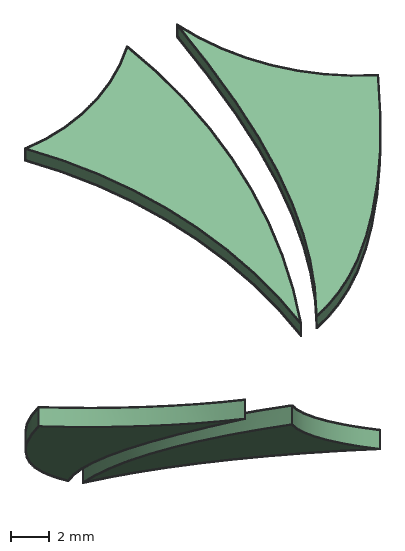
import cadquery as cq

thickness = 1.0

upper_root = (0.15, 10.9)
upper_peak = (8.35, 18.07)
upper_tip = (20.12, 7.16)
upper_back_middle = (5.1, 13.85)
upper_crown_points = [(12.35, 15.75), (16.0, 13.0), (18.55, 10.26)]
upper_belly_points = [(15.27, 9.34), (10.18, 10.48), (5.1, 10.9)]

lower_root = (0.0, 7.97)
lower_heel = (2.94, 0.0)
lower_tip = (20.12, 6.22)
lower_crown_middle = (10.18, 8.71)
lower_belly_middle = (10.9, 4.53)
lower_back_middle = (2.23, 4.55)


def make_upper_blade():
    """Plate with a concave back, a crown that tightens to the tip and a nearly flat belly."""
    return (
        cq.Workplane("XY")
        .moveTo(*upper_root)
        .threePointArc(upper_back_middle, upper_peak)
        .spline([*upper_crown_points, upper_tip], includeCurrent=True)
        .spline([*upper_belly_points, upper_root], includeCurrent=True)
        .close()
        .extrude(thickness)
    )


def make_lower_blade():
    """Plate bounded by three arcs: a convex crown, a concave belly and a concave back."""
    return (
        cq.Workplane("XY")
        .moveTo(*lower_root)
        .threePointArc(lower_crown_middle, lower_tip)
        .threePointArc(lower_belly_middle, lower_heel)
        .threePointArc(lower_back_middle, lower_root)
        .close()
        .extrude(thickness)
    )


upper_blade = make_upper_blade()
lower_blade = make_lower_blade()

result = cq.Compound.makeCompound([upper_blade.val(), lower_blade.val()])